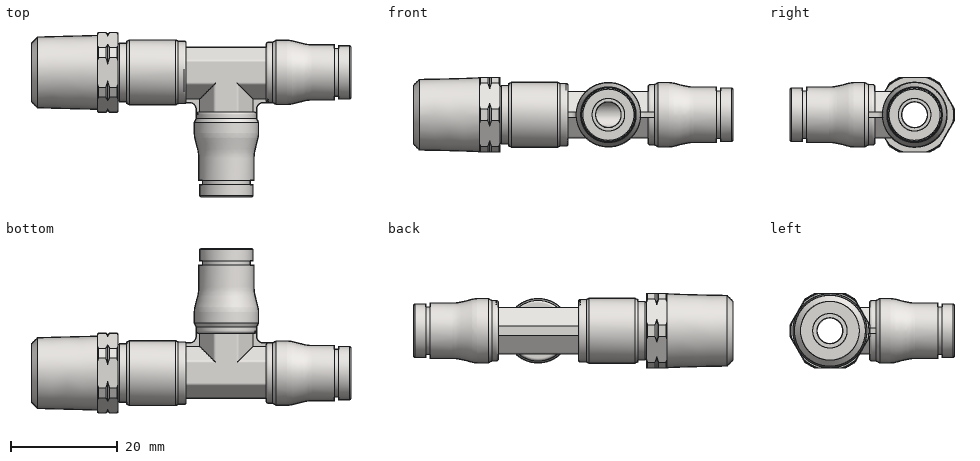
import cadquery as cq
import math

run_length = 59.95
arm_length = 23.4
inlet_x = arm_length - run_length

spigot_length = 12.35
spigot_bevel = 1.15
spigot_tip_radius = 6.65
spigot_face_radius = spigot_tip_radius - spigot_bevel
spigot_base_radius = 6.95

nut_flats = 14.05
nut_corner_radius = 7.5
nut_length = 3.9
nut_bevel = 0.2
nut_groove_depth = 0.3

undercut_radius = 5.4
undercut_length = 0.25
neck_radius = 5.5
neck_length = 1.6
sleeve_radius = 6.1
sleeve_front_bevel = 0.55
sleeve_length = 9.2
rear_cone_length = 0.5
sleeve_end_x = -7.55
collar_radius = 5.9
collar_round = 0.35

socket_start = 7.45
socket_collar_radius = 5.7
socket_collar_round = 0.5
shoulder_start = 8.7
shoulder_end = 9.35
shoulder_radius = 6.05
bell_end = 11.45
bell_round_end = 12.35
bell_round_radius = 5.95
cone_end = 14.5
cone_end_radius = 5.4
barrel_start = 16.0
barrel_radius = 5.2
groove_start = 20.25
groove_end = 21.05
groove_radius = 4.5
release_ring_radius = 5.05
release_ring_bevel = 0.25

body_half_height = 4.4
body_top_half_width = 2.2
body_slope = math.radians(54)
body_edge_round = 0.6
body_back_y = 4.75
rib_half_thickness = 0.55
rib_reach = 5.7
rib_round = 1.2
rib_start_x = sleeve_end_x - collar_round

bore_radius = 2.4
inlet_bore_radius = 3.25
inlet_bore_depth = spigot_length
tube_bore_radius = 3.05
tube_bore_depth = arm_length - shoulder_start

nut_x = inlet_x + spigot_length
nut_end_x = nut_x + nut_length
sleeve_x = nut_end_x + neck_length


def run_cylinder(start_x, length, radius):
    return cq.Workplane("YZ", origin=(start_x, 0, 0)).circle(radius).extrude(length)


def to_branch(solid):
    """Turn a solid built along +X so that it points along -Y."""
    return solid.rotate((0, 0, 0), (0, 0, 1), -90)


def make_spigot():
    profile = (
        cq.Workplane("XY")
        .moveTo(inlet_x, 0)
        .lineTo(inlet_x, spigot_face_radius)
        .lineTo(inlet_x + spigot_bevel, spigot_tip_radius)
        .lineTo(nut_x, spigot_base_radius)
        .lineTo(nut_x, 0)
        .close()
    )
    return profile.revolve(360, (0, 0, 0), (1, 0, 0))


def hexagonal_bar(flats, turn):
    corner_diameter = flats / math.cos(math.radians(30))
    return (
        cq.Workplane("YZ", origin=(nut_x, 0, 0))
        .polygon(6, corner_diameter)
        .extrude(nut_length)
        .rotate((0, 0, 0), (1, 0, 0), turn)
    )


def make_nut():
    """Hexagon with corners cut flat, ends bevelled and a V groove around the middle."""
    outer = nut_corner_radius / math.cos(math.radians(30))
    end_radius = nut_corner_radius - nut_bevel
    middle_x = nut_x + nut_length / 2
    groove_bottom = nut_corner_radius - nut_groove_depth
    groove_half_width = outer - groove_bottom
    bevel_length = outer - end_radius
    envelope = (
        cq.Workplane("XY")
        .moveTo(nut_x, 0)
        .lineTo(nut_x, end_radius)
        .lineTo(nut_x + bevel_length, outer)
        .lineTo(middle_x - groove_half_width, outer)
        .lineTo(middle_x, groove_bottom)
        .lineTo(middle_x + groove_half_width, outer)
        .lineTo(nut_end_x - bevel_length, outer)
        .lineTo(nut_end_x, end_radius)
        .lineTo(nut_end_x, 0)
        .close()
        .revolve(360, (0, 0, 0), (1, 0, 0))
    )
    hexagon = hexagonal_bar(nut_flats, 0)
    corner_cutter = hexagonal_bar(2 * nut_corner_radius, 30)
    return hexagon.intersect(corner_cutter).intersect(envelope)


def make_sleeve():
    """Undercut and neck behind the nut, then the sleeve and its rounded collar."""
    rear_cone_x = sleeve_x + sleeve_length
    rear_cone_end_x = rear_cone_x + rear_cone_length
    profile = (
        cq.Workplane("XY")
        .moveTo(nut_end_x, 0)
        .lineTo(nut_end_x, undercut_radius)
        .lineTo(nut_end_x + undercut_length, undercut_radius)
        .lineTo(nut_end_x + undercut_length, neck_radius)
        .lineTo(sleeve_x, neck_radius)
        .lineTo(sleeve_x, sleeve_radius - sleeve_front_bevel / 2)
        .lineTo(sleeve_x + sleeve_front_bevel, sleeve_radius)
        .lineTo(rear_cone_x, sleeve_radius)
        .lineTo(rear_cone_end_x, collar_radius)
        .lineTo(sleeve_end_x - collar_round, collar_radius)
        .tangentArcPoint((sleeve_end_x, collar_radius - collar_round), relative=False)
        .lineTo(sleeve_end_x, 0)
        .close()
    )
    return profile.revolve(360, (0, 0, 0), (1, 0, 0))


def make_socket():
    """Push-in tube socket along +X, with a bell shape and a release ring."""
    round_middle = socket_collar_round * (1 - math.sqrt(0.5))
    profile = (
        cq.Workplane("XY")
        .moveTo(socket_start, 0)
        .lineTo(socket_start, socket_collar_radius - socket_collar_round)
        .threePointArc(
            (socket_start + round_middle, socket_collar_radius - round_middle),
            (socket_start + socket_collar_round, socket_collar_radius),
        )
        .lineTo(shoulder_start, socket_collar_radius)
        .lineTo(shoulder_end, shoulder_radius)
        .lineTo(bell_end, shoulder_radius)
        .tangentArcPoint((bell_round_end, bell_round_radius), relative=False)
        .lineTo(cone_end, cone_end_radius)
        .tangentArcPoint((barrel_start, barrel_radius), relative=False)
        .lineTo(groove_start, barrel_radius)
        .lineTo(groove_start, groove_radius)
        .lineTo(groove_end, groove_radius)
        .lineTo(groove_end, release_ring_radius)
        .lineTo(arm_length - release_ring_bevel, release_ring_radius)
        .lineTo(arm_length, release_ring_radius - release_ring_bevel)
        .lineTo(arm_length, 0)
        .close()
    )
    return profile.revolve(360, (0, 0, 0), (1, 0, 0))


def sloped_bar(start_x, end_x):
    """Six-sided bar along X with rounded upper and lower edges."""
    half_width = body_top_half_width + body_half_height / math.tan(body_slope)
    section = [
        (half_width, 0),
        (body_top_half_width, body_half_height),
        (-body_top_half_width, body_half_height),
        (-half_width, 0),
        (-body_top_half_width, -body_half_height),
        (body_top_half_width, -body_half_height),
    ]
    bar = cq.Workplane("YZ", origin=(start_x, 0, 0)).polyline(section).close().extrude(end_x - start_x)
    return bar.edges("|X and (>Z or <Z)").fillet(body_edge_round)


def make_body():
    """Run bar trimmed flat along its back, joined to the branch bar."""
    run_bar = sloped_bar(sleeve_end_x, socket_start)
    beyond_back = cq.Workplane("XY").box(run_length, run_length, run_length)
    run_bar = run_bar.cut(beyond_back.translate((0, body_back_y + run_length / 2, 0)))
    branch_bar = to_branch(sloped_bar(0, socket_start))
    return run_bar.union(branch_bar)


def make_rib():
    """Thin web filling the two inner corners and lapping over the collars."""
    outline = (
        cq.Workplane("XY", origin=(0, 0, -rib_half_thickness))
        .moveTo(rib_start_x, 0)
        .lineTo(rib_start_x, -rib_reach)
        .lineTo(-rib_reach - rib_round, -rib_reach)
        .tangentArcPoint((-rib_reach, -rib_reach - rib_round), relative=False)
        .lineTo(-rib_reach, -shoulder_start)
        .lineTo(rib_reach, -shoulder_start)
        .lineTo(rib_reach, -rib_reach - rib_round)
        .tangentArcPoint((rib_reach + rib_round, -rib_reach), relative=False)
        .lineTo(shoulder_start, -rib_reach)
        .lineTo(shoulder_start, 0)
        .close()
    )
    return outline.extrude(2 * rib_half_thickness)


def make_bores():
    tube_bore = run_cylinder(arm_length - tube_bore_depth, tube_bore_depth, tube_bore_radius)
    branch_bore = run_cylinder(0, arm_length, bore_radius)
    return (
        run_cylinder(inlet_x, run_length, bore_radius)
        .union(run_cylinder(inlet_x, inlet_bore_depth, inlet_bore_radius))
        .union(tube_bore)
        .union(to_branch(branch_bore.union(tube_bore)))
    )


socket = make_socket()
result = (
    make_spigot()
    .union(make_nut())
    .union(make_sleeve())
    .union(make_body())
    .union(make_rib())
    .union(socket)
    .union(to_branch(socket))
    .cut(make_bores())
)